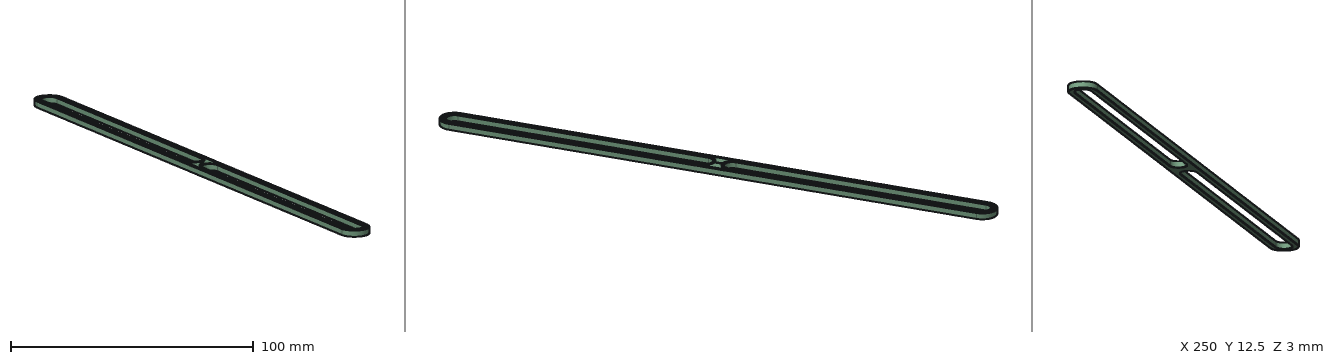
import cadquery as cq

LENGTH = 250.0
WIDTH = 12.5
HEIGHT = 3.0

WALL = 2.8
EDGE_CHAMFER = 0.2

RECESS_INSET = 1.0
RECESS_DEPTH = 0.2
RIB_WIDTH = 0.2

waist = 2 * WALL
window_width = WIDTH - 2 * WALL
window_length = (LENGTH - 2 * WALL - waist) / 2
window_offset = (waist + window_length) / 2
top = HEIGHT / 2


def rounded_bar(length, width, bottom, height):
    """Upright bar with semicircular ends, centred in plan on the origin."""
    return cq.Workplane("XY").workplane(offset=bottom).slot2D(length, width).extrude(height)


def windowed_band(inset, bottom, height):
    """Closed band with a central hourglass web, its whole outline drawn in by the inset."""
    band = rounded_bar(LENGTH - 2 * inset, WIDTH - 2 * inset, bottom, height)
    window = rounded_bar(window_length + 2 * inset, window_width + 2 * inset, bottom, height)
    for side in (-1, 1):
        band = band.cut(window.translate((side * window_offset, 0, 0)))
    return band


body = windowed_band(0, -top, HEIGHT).faces("|Z").edges().chamfer(EDGE_CHAMFER)

recess = windowed_band(RECESS_INSET, top - RECESS_DEPTH, RECESS_DEPTH)
rib = cq.Workplane("XY").box(waist, RIB_WIDTH, HEIGHT)

result = body.cut(recess.cut(rib))